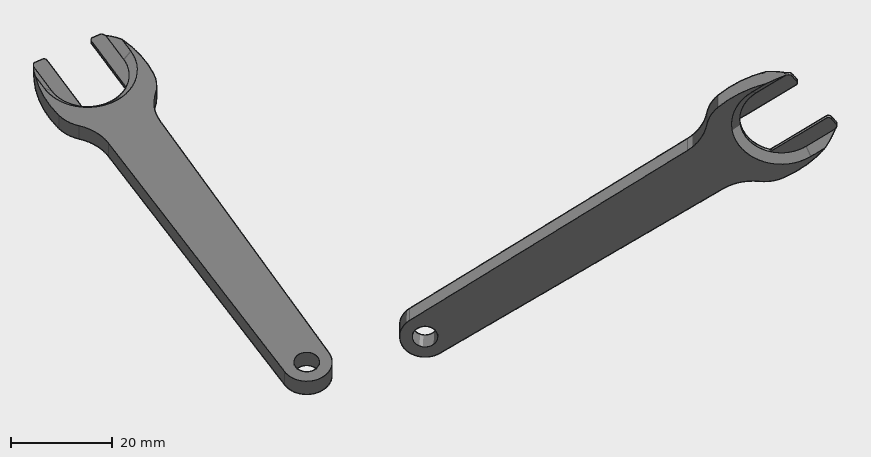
import cadquery as cq
import math

length = 100.0
head_width = 22.0
thickness = 4.0

end_radius = 5.0
hole_diameter = 5.0
taper_angle = math.radians(0.7)
handle_start_x = 26.6

side_radius = 23.5
side_peak_x = 12.0
shoulder_radius = 8.0
neck_radius = 10.0

jaw_center_x = 8.0
seat_radius = 8.15
web_thickness = 0.8
bevel_depth = (thickness - web_thickness) / 2
slot_width = 10.0
tip_rounding = 0.7
overrun = 5.0


def point_toward(start, target, distance):
    """Point at the given distance from start, on the ray toward target."""
    span = math.dist(start, target)
    return tuple(s + (t - s) * distance / span for s, t in zip(start, target))


def circle_crossing(center_a, radius_a, center_b, radius_b):
    """Crossing of two circles that lies left of the direction from a to b."""
    span = math.dist(center_a, center_b)
    along = (radius_a**2 - radius_b**2 + span**2) / (2 * span)
    across = math.sqrt(radius_a**2 - along**2)
    ux = (center_b[0] - center_a[0]) / span
    uy = (center_b[1] - center_a[1]) / span
    return (
        center_a[0] + along * ux - across * uy,
        center_a[1] + along * uy + across * ux,
    )


def arc_middle(center, radius, start, end):
    """Middle of the shorter arc between two points on a circle."""
    chord_middle = tuple((s + e) / 2 for s, e in zip(start, end))
    return point_toward(center, chord_middle, radius)


def mirrored(point):
    """Point reflected across the long axis of the wrench."""
    return (point[0], -point[1])


def wrench_blank():
    """Full-thickness plate with the complete outline, symmetric about X."""
    end_center_x = length - end_radius
    normal = (math.sin(taper_angle), math.cos(taper_angle))
    handle_end = (end_center_x + end_radius * normal[0], end_radius * normal[1])
    handle_start_y = handle_end[1] + (handle_end[0] - handle_start_x) * math.tan(taper_angle)
    handle_start = (handle_start_x, handle_start_y)

    side_center = (side_peak_x, head_width / 2 - side_radius)
    neck_center = (
        handle_start[0] + neck_radius * normal[0],
        handle_start[1] + neck_radius * normal[1],
    )
    shoulder_center = circle_crossing(
        side_center,
        side_radius - shoulder_radius,
        neck_center,
        neck_radius + shoulder_radius,
    )
    shoulder_start = point_toward(side_center, shoulder_center, side_radius)
    shoulder_end = point_toward(shoulder_center, neck_center, shoulder_radius)

    side_peak = (side_peak_x, head_width / 2)
    tip = (0, side_center[1] + math.sqrt(side_radius**2 - side_peak_x**2))

    shoulder_middle = arc_middle(shoulder_center, shoulder_radius, shoulder_start, shoulder_end)
    neck_middle = arc_middle(neck_center, neck_radius, shoulder_end, handle_start)

    return (
        cq.Workplane("XY")
        .workplane(offset=-thickness / 2)
        .moveTo(*tip)
        .threePointArc(side_peak, shoulder_start)
        .threePointArc(shoulder_middle, shoulder_end)
        .threePointArc(neck_middle, handle_start)
        .lineTo(*handle_end)
        .threePointArc((length, 0), mirrored(handle_end))
        .lineTo(*mirrored(handle_start))
        .threePointArc(mirrored(neck_middle), mirrored(shoulder_end))
        .threePointArc(mirrored(shoulder_middle), mirrored(shoulder_start))
        .threePointArc(mirrored(side_peak), mirrored(tip))
        .close()
        .extrude(thickness)
    )


def jaw_profile(plane, radius):
    """U-shaped wire open toward -X, rounded about the jaw centre."""
    return (
        plane.moveTo(-overrun, radius)
        .lineTo(jaw_center_x, radius)
        .threePointArc((jaw_center_x + radius, 0), (jaw_center_x, -radius))
        .lineTo(-overrun, -radius)
        .close()
    )


def bevelled_seat():
    """Cutter above the web, widening from the seat radius up to the top face."""
    floor = jaw_profile(cq.Workplane("XY").workplane(offset=web_thickness / 2), seat_radius)
    rim_plane = floor.workplane(offset=bevel_depth)
    return jaw_profile(rim_plane, seat_radius + bevel_depth).loft(ruled=True)


def jaw_slot():
    """Parallel-sided slot through the web, ending on the seat circle."""
    reach = overrun + jaw_center_x + seat_radius
    band = cq.Workplane("XY").box(reach, slot_width, thickness, centered=(False, True, True))
    rounded = jaw_profile(cq.Workplane("XY").workplane(offset=-thickness / 2), seat_radius)
    return band.translate((-overrun, 0, 0)).intersect(rounded.extrude(thickness))


def hanging_hole():
    """Through hole concentric with the round handle end."""
    return (
        cq.Workplane("XY")
        .center(length - end_radius, 0)
        .circle(hole_diameter / 2)
        .extrude(thickness, both=True)
    )


seat = bevelled_seat()
result = (
    wrench_blank()
    .cut(seat)
    .cut(seat.mirror("XY"))
    .cut(jaw_slot())
    .cut(hanging_hole())
    .faces("<X")
    .edges("|Z")
    .fillet(tip_rounding)
)